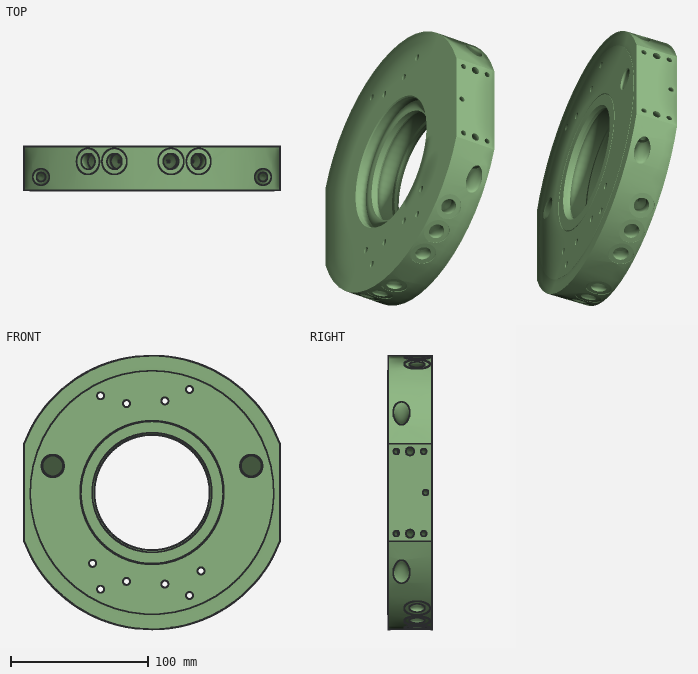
import cadquery as cq
import math

outer_diameter = 200.0
width = 187.0
thickness = 32.5
front_y = -thickness / 2
back_y = thickness / 2

lead_in_diameter = 87.5
lead_in_depth = 2.5
bore_diameter = 84.0
lip_length = 2.2
groove_diameter = 90.5
groove_length = 13.5
rear_bevel_depth = 1.2
rear_bevel_height = 0.5
counterbore_diameter = 100.0
counterbore_depth = 8.5
counterbore_chamfer = 0.8

ring_groove_outer_diameter = 105.0
ring_groove_width = 0.5
ring_groove_depth = 0.5
raised_face_diameter = 177.8
raised_face_height = 0.2

locating_diameter = 15.0
locating_depth = 20.0
locating_chamfer = 0.8
locating_radius = 75.0
locating_angle = 15.0

port_y = 5.2
port_diameter = 11.5
port_tip_radius = 85.5
spotface_diameter = 19.0
spotface_depth = 0.5
feed_diameter = 2.0
cross_hole_diameter = 5.0
inner_cross_circle_diameter = 135.0
outer_cross_circle_diameter = 160.0
inner_cross_radius = inner_cross_circle_diameter / 2
outer_cross_radius = outer_cross_circle_diameter / 2
upper_ports = [
    (-28, outer_cross_radius),
    (-16, inner_cross_radius),
    (8, inner_cross_radius),
    (20, outer_cross_radius),
]
lower_only_ports = [
    (-40, inner_cross_radius),
    (32, inner_cross_radius),
]

mount_x = 81.0
mount_y = -6.2
mount_head_diameter = 12.0
mount_floor_z = 44.0
mount_thread_diameter = 6.5
mount_thread_depth = 16.0

side_hole_z = 30.0
side_screw_y = 10.0
side_screw_diameter = 4.2
side_screw_depth = 10.0
side_pin_diameter = 6.0
side_pin_depth = 12.0
side_center_y = 11.5

drill_tip_angle = 118.0
into_body = (0, 1, 0)


def tip_length(diameter):
    """Length of the conical end left by a drill."""
    return diameter / 2 / math.tan(math.radians(drill_tip_angle / 2))


def drill(start, direction, diameter, depth):
    """Blind hole tool with a conical tip; depth is that of the full diameter."""
    radius = diameter / 2
    profile = (
        cq.Workplane("XY")
        .polyline([(0, 0), (radius, 0), (radius, depth), (0, depth + tip_length(diameter))])
        .close()
        .revolve(360, (0, 0), (0, 1))
    )
    axis = cq.Vector(*direction)
    reference = cq.Vector(0, 1, 0).cross(axis)
    plane = cq.Plane(origin=start, xDir=reference.toTuple(), normal=axis.toTuple())
    upright = profile.rotate((0, 0, 0), (1, 0, 0), 90)
    return upright.val().moved(plane.location)


def cylinder(start, direction, diameter, length):
    """Plain round tool from a start point along a direction."""
    return cq.Solid.makeCylinder(diameter / 2, length, cq.Vector(*start), cq.Vector(*direction))


def polar(radius, angle, y):
    """Point at a radius and an angle measured from +Z toward +X."""
    a = math.radians(angle)
    return (radius * math.sin(a), y, radius * math.cos(a))


def make_body():
    """Ring blank with two flats and a slightly raised circular front face."""
    raised_face = cylinder((0, front_y, 0), into_body, raised_face_diameter, thickness)
    rim_start = (0, front_y + raised_face_height, 0)
    rim = cylinder(rim_start, into_body, outer_diameter, thickness - raised_face_height)
    slab = cq.Workplane("XY").box(width, thickness, outer_diameter)
    return slab.intersect(cq.Workplane(obj=raised_face.fuse(rim)))


def bore_tool():
    """Turned opening with its internal groove and rear counterbore."""
    bore = bore_diameter / 2
    groove = groove_diameter / 2
    lip_start = front_y + lead_in_depth
    groove_start = lip_start + lip_length
    groove_end = groove_start + groove_length
    counterbore = counterbore_diameter / 2
    shoulder = back_y - counterbore_depth
    outline = [
        (0, front_y),
        (lead_in_diameter / 2, front_y),
        (bore, lip_start),
        (bore, groove_start),
        (groove, groove_start),
        (groove, groove_end),
        (bore + rear_bevel_height, groove_end),
        (bore, groove_end + rear_bevel_depth),
        (bore, shoulder),
        (counterbore, shoulder),
        (counterbore, back_y - counterbore_chamfer),
        (counterbore + counterbore_chamfer, back_y),
        (0, back_y),
    ]
    return cq.Workplane("XY").polyline(outline).close().revolve(360, (0, 0), (0, 1))


def ring_groove_tool():
    """Narrow annular groove in the front face."""
    start = (0, front_y, 0)
    outer = cylinder(start, into_body, ring_groove_outer_diameter, ring_groove_depth)
    inner_diameter = ring_groove_outer_diameter - 2 * ring_groove_width
    return outer.cut(cylinder(start, into_body, inner_diameter, ring_groove_depth))


def locating_tools():
    """Pair of flat-bottomed holes with chamfered mouths."""
    tools = []
    mouth_radius = locating_diameter / 2 + locating_chamfer
    for side in (-1, 1):
        angle = side * (90 - locating_angle)
        start = polar(locating_radius, angle, front_y)
        tools.append(cylinder(start, into_body, locating_diameter, locating_depth))
        cone = cq.Solid.makeCone(
            mouth_radius, locating_diameter / 2, locating_chamfer, cq.Vector(*start), cq.Vector(*into_body)
        )
        tools.append(cone)
    return tools


def port_tools(angle, cross_radius):
    """Spotface, port, feed drilling and through cross hole at one angle."""
    rim = outer_diameter / 2
    floor = rim - spotface_depth
    inward = polar(-1, angle, 0)
    outward = polar(1, angle, 0)
    port_length = rim - port_tip_radius - tip_length(port_diameter)
    return [
        cylinder(polar(floor, angle, port_y), outward, spotface_diameter, spotface_diameter),
        drill(polar(rim, angle, port_y), inward, port_diameter, port_length),
        cylinder(polar(rim, angle, port_y), inward, feed_diameter, rim - cross_radius),
        cylinder(polar(cross_radius, angle, front_y), into_body, cross_hole_diameter, thickness),
    ]


def mount_tools():
    """Screw-head recess and blind threaded bore at each of four rim positions."""
    tools = []
    for x in (-mount_x, mount_x):
        for side in (-1, 1):
            floor = (x, mount_y, side * mount_floor_z)
            tools.append(cylinder(floor, (0, 0, side), mount_head_diameter, outer_diameter / 2))
            tools.append(drill(floor, (0, 0, -side), mount_thread_diameter, mount_thread_depth))
    return tools


def side_tools():
    """Pin and screw holes in both flats."""
    tools = []
    for side in (-1, 1):
        x = side * width / 2
        inward = (-side, 0, 0)
        tools.append(drill((x, side_center_y, 0), inward, side_screw_diameter, side_screw_depth))
        for z in (-side_hole_z, side_hole_z):
            tools.append(drill((x, 0, z), inward, side_pin_diameter, side_pin_depth))
            for y in (-side_screw_y, side_screw_y):
                tools.append(drill((x, y, z), inward, side_screw_diameter, side_screw_depth))
    return tools


tools = locating_tools() + mount_tools() + side_tools()
for angle, cross_radius in upper_ports:
    tools += port_tools(angle, cross_radius)
for angle, cross_radius in upper_ports + lower_only_ports:
    tools += port_tools(180 - angle, cross_radius)
tools.append(ring_groove_tool())

result = make_body().cut(bore_tool())
for tool in tools:
    result = result.cut(cq.Workplane(obj=tool))